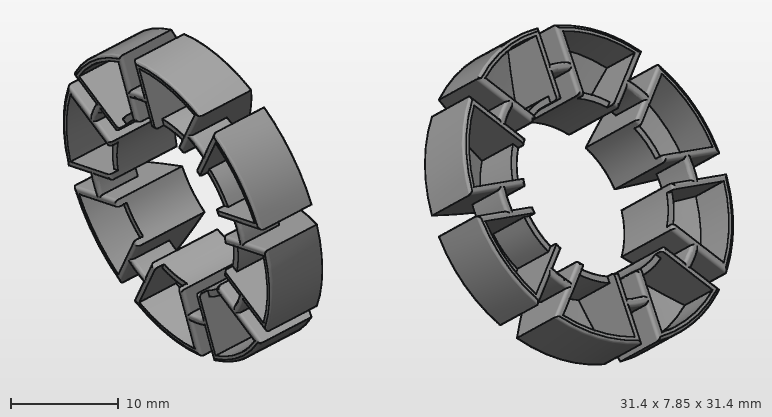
import cadquery as cq
import math

segment_count = 8
outer_radius = 15.7
inner_radius = 8.75
overall_depth = 7.85
dome_radius = 48.05
slot_width = 2.07
wall = 0.65
roof = 1.88
notch_depth = 1.0
edge_fillet = 0.3

bridge_inner_radius = 11.25
bridge_outer_radius = 12.1
bridge_depth = 4.43

pitch_angle = 360.0 / segment_count
ring_axis = ((0, 0, 0), (0, 1, 0))


def dome_drop(radius):
    """Distance a dome surface lies below its pole at the given radius."""
    return dome_radius - math.sqrt(dome_radius**2 - radius**2)


def domed_ring(r_in, r_out, inner_depth):
    """Ring standing on Y = 0 with a spherical top that is inner_depth high at r_in."""
    pole = inner_depth + dome_drop(r_in)
    r_mid = (r_in + r_out) / 2
    return (
        cq.Workplane("XY")
        .moveTo(r_in, 0)
        .lineTo(r_out, 0)
        .lineTo(r_out, pole - dome_drop(r_out))
        .threePointArc((r_mid, pole - dome_drop(r_mid)), (r_in, inner_depth))
        .close()
        .revolve(360, *ring_axis)
    )


def radial_slots(width):
    """Straight bars across the ring, one through each gap and the gap opposite."""
    length = 3 * outer_radius
    depth = 3 * overall_depth
    bars = cq.Workplane("XY")
    for index in range(segment_count // 2):
        bar = cq.Workplane("XY").box(length, depth, width)
        bars = bars.add(bar.rotate(*ring_axis, (index + 0.5) * pitch_angle))
    return bars.combine()


segments = domed_ring(inner_radius, outer_radius, overall_depth).cut(radial_slots(slot_width))
bridges = domed_ring(bridge_inner_radius, bridge_outer_radius, bridge_depth).intersect(
    radial_slots(slot_width + wall)
)
body = segments.union(bridges)
body = body.faces("<Y").edges().fillet(edge_fillet)

cavity_inner_radius = inner_radius + wall
cavity_depth = overall_depth - roof + dome_drop(inner_radius) - dome_drop(cavity_inner_radius)
between_side_walls = radial_slots(slot_width + 2 * wall)
cavities = domed_ring(cavity_inner_radius, outer_radius - wall, cavity_depth).cut(between_side_walls)

notches = (
    cq.Workplane("XZ")
    .circle(cavity_inner_radius + wall)
    .circle(inner_radius - wall)
    .extrude(-notch_depth)
    .cut(between_side_walls)
)

result = body.cut(cavities).cut(notches)